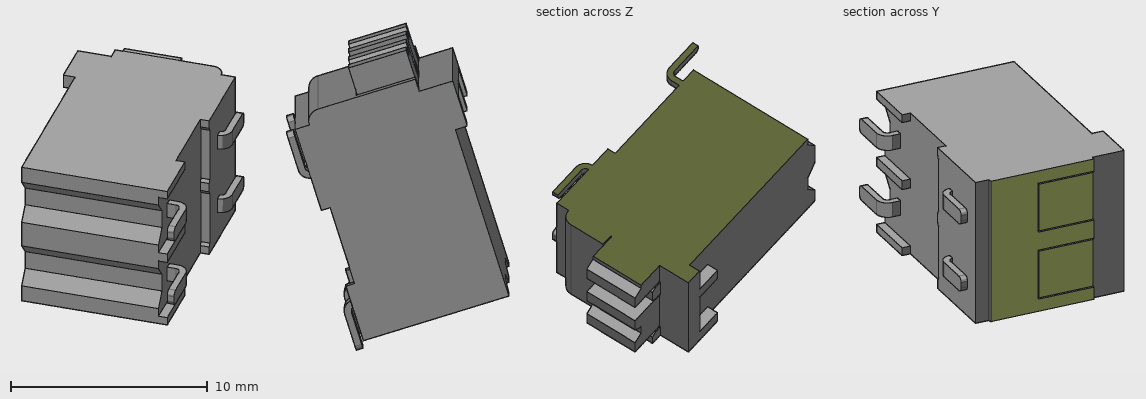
import cadquery as cq
import math

pole_count = 2
pole_pitch = 3.81
height = 8.01

flange_thickness = 0.63
body_right = 8.4
body_length = 11.54
flange_length = 2.46
window_length = 1.5
window_width = 2.93
middle_finger_width = 0.69
window_pitch = window_width + middle_finger_width
step_height = 0.66
step_left = 1.79
step_right = 7.65

standoff_depth = 0.47
standoff_face = body_right - standoff_depth
gap_start = 2.98
gap_end = 7.11

groove_mouth = 2.4
groove_floor = 1.0
groove_depth = 0.6

channel_width = 3.31
recess_floor_width = 2.95
recess_depth = 0.1

button_width = 2.68
button_length = 3.07
button_projection = 1.42
button_clearance = 0.04
slot_lead_in_width = 0.18
slot_lead_in_length = 0.31
button_notch_mouth = 1.08
button_notch_floor = 0.51
button_notch_depth = 0.51
button_left = step_left + button_clearance
step_top = body_length + step_height
button_top = step_top + button_projection

overall_width = 9.0
overall_length = 14.38
pin_thickness = 0.36
pin_width = 0.82
bend_inner_radius = 0.25
bend_outer_radius = bend_inner_radius + pin_thickness
bend_center_x = overall_width - bend_outer_radius
pin_tip_radius = 0.25
pin_embed = 0.3
front_pin_root = 1.84
front_pin_tip = button_top - overall_length
rear_pin_root = 8.51
rear_pin_tip = 11.1


def stacked_heights(pitch):
    """Z positions, one per pole, centred on the housing height."""
    return [height / 2 + (i - (pole_count - 1) / 2) * pitch for i in range(pole_count)]


def block(x_min, x_max, y_min, y_max, z_min, z_max):
    """Axis-aligned block between the given limits."""
    size = (x_max - x_min, y_max - y_min, z_max - z_min)
    return cq.Workplane("XY").box(*size, centered=False).translate((x_min, y_min, z_min))


def tapered_block(x_min, x_max, y_mouth, y_floor, z_center, mouth_width, floor_width):
    """Prism along X whose Z width changes linearly from y_mouth to y_floor."""
    return (
        cq.Workplane("YZ", origin=(x_min, 0, z_center))
        .polyline([
            (y_mouth, -mouth_width / 2),
            (y_mouth, mouth_width / 2),
            (y_floor, floor_width / 2),
            (y_floor, -floor_width / 2),
        ])
        .close()
        .extrude(x_max - x_min)
    )


def make_housing():
    """Full-height housing profile with flange, rounded step and standoff gap."""
    arc_center_x = step_right - step_height
    arc_offset = step_height * math.sqrt(0.5)
    return (
        cq.Workplane("XY")
        .moveTo(flange_thickness, 0)
        .lineTo(body_right, 0)
        .lineTo(body_right, gap_start)
        .lineTo(standoff_face, gap_start)
        .lineTo(standoff_face, gap_end)
        .lineTo(body_right, gap_end)
        .lineTo(body_right, body_length)
        .lineTo(step_right, body_length)
        .threePointArc(
            (arc_center_x + arc_offset, body_length + arc_offset),
            (arc_center_x, step_top),
        )
        .lineTo(step_left, step_top)
        .lineTo(step_left, body_length)
        .lineTo(0, body_length)
        .lineTo(0, body_length - flange_length)
        .lineTo(flange_thickness, body_length - flange_length)
        .close()
        .extrude(height)
    )


def flange_window(z):
    """Cut-out that leaves the flange as a bar with fingers."""
    y_min = body_length - flange_length
    half = window_width / 2
    return block(0, flange_thickness, y_min, y_min + window_length, z - half, z + half)


def wire_groove(z):
    """Trapezoidal groove across the wire end."""
    return tapered_block(
        flange_thickness, body_right, 0, groove_depth, z, groove_mouth, groove_floor
    )


def pin_channel(z):
    """Straight channel that splits the front standoff into ribs."""
    half = channel_width / 2
    return block(standoff_face, body_right, 0, gap_start, z - half, z + half)


def standoff_recess(z):
    """Shallow recess with sloped sides in the rear standoff, in line with the channel."""
    return tapered_block(
        standoff_face, body_right, gap_end, gap_end + recess_depth,
        z, channel_width, recess_floor_width,
    )


def button_slot(z):
    """Slot with a lead-in through the step, with clearance around the button."""
    slot_width = button_width + 2 * button_clearance
    half = slot_width / 2
    mouth_width = slot_width + 2 * slot_lead_in_width
    x_max = button_left + button_length + button_clearance
    lead_in = tapered_block(
        step_left, x_max, step_top, step_top - slot_lead_in_length, z, mouth_width, slot_width
    )
    return lead_in.union(block(step_left, x_max, body_length, step_top, z - half, z + half))


def push_button(z):
    """Button standing on the slot floor, with a notch for a screwdriver."""
    half = button_width / 2
    x_max = button_left + button_length
    notch = tapered_block(
        button_left, x_max, button_top, button_top - button_notch_depth,
        z, button_notch_mouth, button_notch_floor,
    )
    return block(button_left, x_max, body_length, button_top, z - half, z + half).cut(notch)


def solder_pin(z, root, tip):
    """Pin leaving the housing along +X, bent along Y towards its rounded tip.

    root is the Y of the outer side of the bend.
    """
    direction = math.copysign(1, tip - root)
    bend_center_y = root + direction * bend_outer_radius
    root_inner = root + direction * pin_thickness
    pin_inner_x = overall_width - pin_thickness
    outer_offset = bend_outer_radius * math.sqrt(0.5)
    inner_offset = bend_inner_radius * math.sqrt(0.5)
    pin_start = standoff_face - pin_embed
    return (
        cq.Workplane("XY", origin=(0, 0, z - pin_width / 2))
        .moveTo(pin_start, root)
        .lineTo(bend_center_x, root)
        .threePointArc(
            (bend_center_x + outer_offset, bend_center_y - direction * outer_offset),
            (overall_width, bend_center_y),
        )
        .lineTo(overall_width, tip)
        .lineTo(pin_inner_x, tip)
        .lineTo(pin_inner_x, bend_center_y)
        .threePointArc(
            (bend_center_x + inner_offset, bend_center_y - direction * inner_offset),
            (bend_center_x, root_inner),
        )
        .lineTo(pin_start, root_inner)
        .close()
        .extrude(pin_width)
        .faces(">Y" if direction > 0 else "<Y")
        .edges("|X")
        .fillet(pin_tip_radius)
    )


result = make_housing()
for window_z in stacked_heights(window_pitch):
    result = result.cut(flange_window(window_z))
for pole_z in stacked_heights(pole_pitch):
    for cutter in (wire_groove, pin_channel, standoff_recess, button_slot):
        result = result.cut(cutter(pole_z))
    result = result.union(push_button(pole_z))
    result = result.union(solder_pin(pole_z, front_pin_root, front_pin_tip))
    result = result.union(solder_pin(pole_z, rear_pin_root, rear_pin_tip))